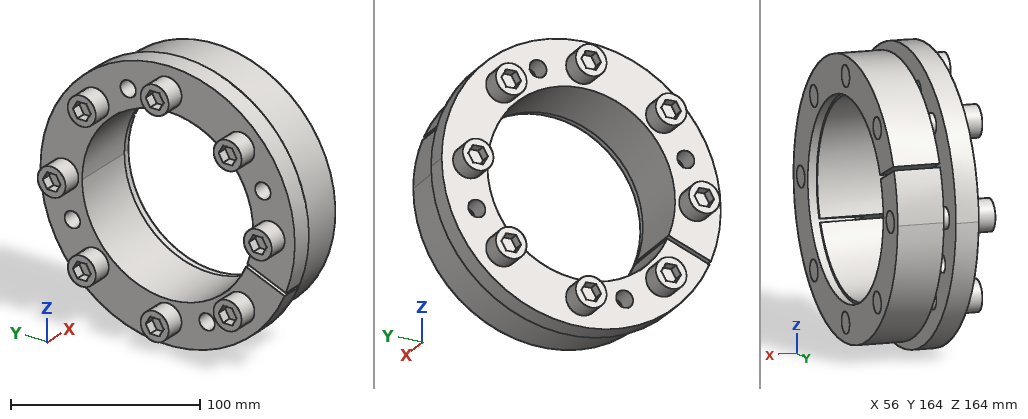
import cadquery as cq
import math

head_height = 12.0
flange_thickness = 13.0
ring_gap = 5.0
clamp_ring_width = 26.0
hub_end_recess = 5.0

flange_front_x = head_height
flange_rear_x = flange_front_x + flange_thickness
clamp_ring_front_x = flange_rear_x + ring_gap
rear_x = clamp_ring_front_x + clamp_ring_width
hub_end_x = rear_x - hub_end_recess

flange_radius = 82.0
clamp_ring_radius = 77.3
bore_radius = 55.0
hub_root_radius = 58.7
cone_angle = 5.0
slit_width = 2.1
hub_slit_angle = 202.5
clamp_ring_slit_angle = hub_slit_angle - 180.0

pitch_radius = 66.4
screw_count = 8
shank_diameter = 12.0
head_diameter = 18.0
socket_across_flats = 10.0
socket_depth = 6.0
jack_hole_diameter = 10.0
jack_hole_count = 4
first_jack_hole_angle = 67.5


def cone_radius(x):
    """Radius of the mating cone at a position along the axis."""
    return hub_root_radius - (x - flange_rear_x) * math.tan(math.radians(cone_angle))


def revolved_ring(profile):
    """Ring around the X axis from a closed outline of (x, radius) points."""
    return cq.Workplane("XY").polyline(profile).close().revolve(360, (0, 0, 0), (1, 0, 0))


def on_pitch_circle(angle):
    """(Y, Z) position on the pitch circle."""
    turn = math.radians(angle)
    return (pitch_radius * math.cos(turn), pitch_radius * math.sin(turn))


def cylinder_along_x(centre, diameter, start_x, end_x):
    return (
        cq.Workplane("YZ", origin=(start_x, 0, 0))
        .center(*centre)
        .circle(diameter / 2)
        .extrude(end_x - start_x)
    )


def slit_cutter(angle):
    """Radial slab that opens a ring on one side only."""
    return (
        cq.Workplane("XY")
        .box(rear_x, flange_radius + slit_width, slit_width, centered=(False, False, True))
        .rotate((0, 0, 0), (1, 0, 0), angle)
    )


screw_centres = [on_pitch_circle(i * 360 / screw_count) for i in range(screw_count)]
jack_hole_centres = [
    on_pitch_circle(first_jack_hole_angle + i * 360 / jack_hole_count) for i in range(jack_hole_count)
]


def make_flanged_hub():
    """Split flange with a conical hub that reaches into the clamp ring."""
    hub = revolved_ring([
        (flange_front_x, bore_radius),
        (flange_front_x, flange_radius),
        (flange_rear_x, flange_radius),
        (flange_rear_x, hub_root_radius),
        (hub_end_x, cone_radius(hub_end_x)),
        (hub_end_x, bore_radius),
    ])
    hub = hub.cut(slit_cutter(hub_slit_angle))
    for centre in screw_centres:
        hub = hub.cut(cylinder_along_x(centre, shank_diameter, flange_front_x, flange_rear_x))
    for centre in jack_hole_centres:
        hub = hub.cut(cylinder_along_x(centre, jack_hole_diameter, flange_front_x, flange_rear_x))
    return hub


def make_clamp_ring():
    """Split outer ring with a conical bore that seats on the hub."""
    ring = revolved_ring([
        (clamp_ring_front_x, cone_radius(clamp_ring_front_x)),
        (clamp_ring_front_x, clamp_ring_radius),
        (rear_x, clamp_ring_radius),
        (rear_x, cone_radius(rear_x)),
    ])
    ring = ring.cut(slit_cutter(clamp_ring_slit_angle))
    for centre in screw_centres:
        ring = ring.cut(cylinder_along_x(centre, shank_diameter, clamp_ring_front_x, rear_x))
    return ring


def make_screw(centre):
    """Socket head screw whose shank ends flush with the rear face."""
    head = cylinder_along_x(centre, head_diameter, 0, head_height)
    shank = cylinder_along_x(centre, shank_diameter, head_height, rear_x)
    socket_across_corners = socket_across_flats / math.cos(math.radians(30))
    socket = cq.Workplane("YZ").center(*centre).polygon(6, socket_across_corners).extrude(socket_depth)
    return head.union(shank).cut(socket)


flanged_hub = make_flanged_hub()
clamp_ring = make_clamp_ring()
screws = [make_screw(centre) for centre in screw_centres]

result = cq.Compound.makeCompound([
    flanged_hub.solids().val(),
    clamp_ring.solids().val(),
    *[screw.solids().val() for screw in screws],
])